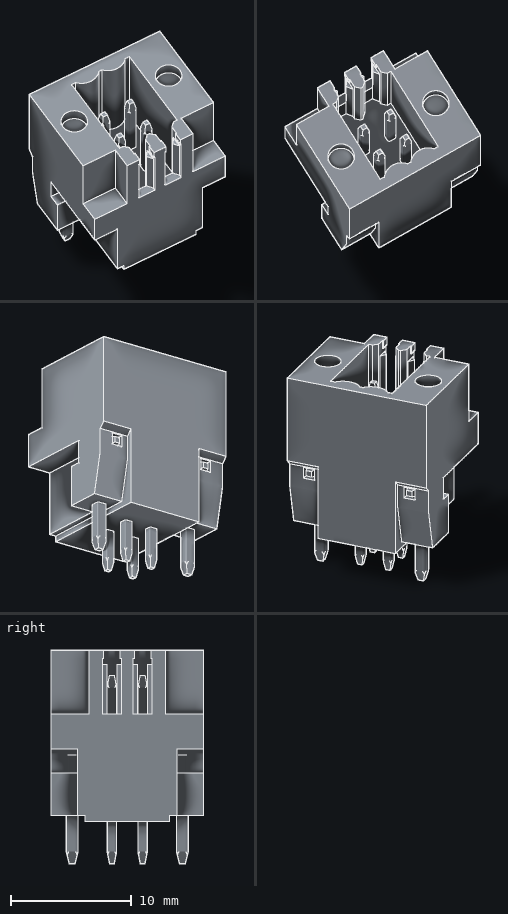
import cadquery as cq


LENGTH = 10.5
WIDTH = 12.64
TOP = 17.7
BLOCK_BOTTOM = 3.49
BLOCK_HALF_WIDTH = 3.5
WING_BOTTOM = 4.0
CUT = 0.18

BACK_RECESS = 0.5
BACK_RECESS_TOP = 10.09
BACK_SLOPE_TOP = 7.52
BACK_SLOPE_RUN = 0.8

NOTCH_X = 8.62
NOTCH_FLOOR = 12.43
NOTCH_HALF_SPACING = 3.19

SIDE_RECESS_DEPTH = 2.2
SIDE_RECESS_TOP = 9.52
SIDE_RECESS_X = 3.49
SIDE_STEP_X = 4.51
SIDE_STEP_Z = 7.52

HOLE_DIAMETER = 2.2
HOLE_DEPTH = 1.1
HOLE_X = 4.32

CAVITY_BACK = 0.95
CAVITY_FRONT = NOTCH_X
CAVITY_HALF_WIDTH = 2.8
CAVITY_FLOOR = SIDE_RECESS_TOP
SCALLOP_RADIUS = 1.45
SCALLOP_BULGE = 0.53

SLOT_HALF_WIDTH = 0.78
SLOT_MOUTH_HALF_WIDTH = 1.17
SLOT_FLARE_END = 9.0
SLOT_RIDGE_X = 9.74
LIP_THICKNESS = 0.09
LIP_HEIGHT = 0.7
RIDGE_HEIGHT = 0.37
RIDGE_HALF_BASE = 0.51
RIDGE_TOP = TOP - 1.2

PITCH = 2.55
CONTACT_SIZE = 0.8
CONTACT_FILLET = 0.2
CONTACT_TOP = 15.61
CONTACT_X = 3.65
ANCHOR_SIZE = 1.0
ANCHOR_FILLET = 0.27
ANCHOR_X = 3.01
ANCHOR_Y = 4.57
ANCHOR_LEG_Z = 9.01
TIP_LENGTH = 1.01
TIP_RATIO = 0.5

HALF_WIDTH = WIDTH / 2
SIDES = (-1, 1)
COLUMN_Y = (-PITCH / 2, PITCH / 2)
CONTACT_ROWS = (CONTACT_X, CONTACT_X + PITCH)


def box(x0, x1, y0, y1, z0, z1):
    """Box between two corners given by their coordinates."""
    return cq.Workplane("XY").box(x1 - x0, y1 - y0, z1 - z0, centered=False).translate((x0, y0, z0))


def wing_box(side, x0, x1, y_inner, y_outer, z0, z1):
    """Box lying between two distances from the symmetry plane, on one side of it."""
    y0, y1 = sorted((side * y_inner, side * y_outer))
    return box(x0, x1, y0, y1, z0, z1)


def upright_prism(points, z0, z1):
    """Prism with an XY outline standing between two heights."""
    return cq.Workplane("XY").workplane(offset=z0).polyline(points).close().extrude(z1 - z0)


def back_wing_profile(side):
    """Cutter for the chamfered and sloped back of one wing."""
    slope_end = BACK_RECESS + BACK_SLOPE_RUN
    outline = [
        (-CUT, BACK_RECESS_TOP + CUT),
        (BACK_RECESS, BACK_RECESS_TOP - BACK_RECESS),
        (BACK_RECESS, BACK_SLOPE_TOP),
        (slope_end, WING_BOTTOM),
        (-CUT, WING_BOTTOM),
    ]
    depth = HALF_WIDTH - BLOCK_HALF_WIDTH
    centre = side * (HALF_WIDTH + BLOCK_HALF_WIDTH) / 2
    prism = cq.Workplane("XZ").polyline(outline).close().extrude(depth / 2, both=True)
    return prism.translate((0, centre, 0))


def housing():
    """Outer body without the mating cavity."""
    body = box(0, LENGTH, -HALF_WIDTH, HALF_WIDTH, WING_BOTTOM, TOP)
    body = body.union(box(0, LENGTH, -BLOCK_HALF_WIDTH, BLOCK_HALF_WIDTH, BLOCK_BOTTOM, TOP))
    recess_inner = HALF_WIDTH - SIDE_RECESS_DEPTH
    outer = HALF_WIDTH + CUT
    end = LENGTH + CUT
    for side in SIDES:
        body = body.cut(back_wing_profile(side))
        body = body.cut(wing_box(side, NOTCH_X, end, NOTCH_HALF_SPACING, outer, NOTCH_FLOOR, TOP + CUT))
        body = body.cut(wing_box(side, SIDE_RECESS_X, end, recess_inner, outer, SIDE_STEP_Z, SIDE_RECESS_TOP))
        body = body.cut(wing_box(side, SIDE_STEP_X, end, recess_inner, outer, WING_BOTTOM - CUT, SIDE_STEP_Z))
        hole = cq.Workplane("XY").circle(HOLE_DIAMETER / 2).extrude(HOLE_DEPTH)
        body = body.cut(hole.translate((HOLE_X, side * ANCHOR_Y, TOP - HOLE_DEPTH)))
    return body


def slot(y):
    """Cutter for one slot: flared mouth, deep inner part and shallower outer part."""
    mouth = upright_prism(
        [
            (CAVITY_FRONT, y - SLOT_MOUTH_HALF_WIDTH),
            (SLOT_FLARE_END, y - SLOT_HALF_WIDTH),
            (SLOT_FLARE_END, y + SLOT_HALF_WIDTH),
            (CAVITY_FRONT, y + SLOT_MOUTH_HALF_WIDTH),
        ],
        CAVITY_FLOOR,
        TOP,
    )
    y0 = y - SLOT_HALF_WIDTH
    y1 = y + SLOT_HALF_WIDTH
    inner = box(SLOT_FLARE_END, SLOT_RIDGE_X, y0, y1, CAVITY_FLOOR, TOP)
    outer = box(SLOT_RIDGE_X, LENGTH, y0, y1, NOTCH_FLOOR, TOP)
    return mouth.union(inner).union(outer)


def slot_ribs(y):
    """Lips and triangular ridges on both walls of one slot."""
    ribs = cq.Workplane("XY")
    for side in SIDES:
        wall = y + side * SLOT_HALF_WIDTH
        lip_y = sorted((wall, wall - side * LIP_THICKNESS))
        ribs = ribs.add(box(SLOT_RIDGE_X, LENGTH, lip_y[0], lip_y[1], TOP - LIP_HEIGHT, TOP))
        triangle = [
            (SLOT_RIDGE_X - RIDGE_HALF_BASE, wall),
            (SLOT_RIDGE_X, wall - side * RIDGE_HEIGHT),
            (SLOT_RIDGE_X + RIDGE_HALF_BASE, wall),
        ]
        ribs = ribs.add(upright_prism(triangle, CAVITY_FLOOR, RIDGE_TOP))
    return ribs.combine()


def mating_cavity():
    """Cutter for the open cavity with its scalloped back wall and slots."""
    cavity = box(CAVITY_BACK, CAVITY_FRONT, -CAVITY_HALF_WIDTH, CAVITY_HALF_WIDTH, CAVITY_FLOOR, TOP)
    scallop_x = CAVITY_BACK + SCALLOP_BULGE - SCALLOP_RADIUS
    for y in COLUMN_Y:
        scallop = cq.Workplane("XY").circle(SCALLOP_RADIUS).extrude(TOP)
        cavity = cavity.cut(scallop.translate((scallop_x, y, 0)))
        cavity = cavity.union(slot(y))
    for y in COLUMN_Y:
        cavity = cavity.cut(slot_ribs(y))
    return cavity


def tapered_tip(size):
    """Square frustum with its wide end at Z = 0 and its narrow end at TIP_LENGTH."""
    tip = cq.Workplane("XY").rect(size, size).workplane(offset=TIP_LENGTH)
    return tip.rect(size * TIP_RATIO, size * TIP_RATIO).loft()


def bottom_tip(size):
    """Tip pointing down, ending at Z = 0."""
    return tapered_tip(size).mirror("XY").translate((0, 0, TIP_LENGTH))


def contact_pin():
    """Straight contact with rounded edges and a tapered tip at both ends."""
    size = CONTACT_SIZE
    shaft = cq.Workplane("XY").rect(size, size).extrude(CONTACT_TOP).edges("|Z").fillet(CONTACT_FILLET)
    middle = cq.Workplane("XY").rect(size, size).extrude(CONTACT_TOP - 2 * TIP_LENGTH)
    envelope = middle.translate((0, 0, TIP_LENGTH)).union(bottom_tip(size))
    envelope = envelope.union(tapered_tip(size).translate((0, 0, CONTACT_TOP - TIP_LENGTH)))
    return shaft.intersect(envelope)


def anchor_pin():
    """Vertical leg of an anchor with rounded edges, reaching up to its horizontal leg."""
    size = ANCHOR_SIZE
    shaft = cq.Workplane("XY").rect(size, size).extrude(ANCHOR_LEG_Z).edges("|Z").fillet(ANCHOR_FILLET)
    middle = cq.Workplane("XY").rect(size, size).extrude(ANCHOR_LEG_Z - TIP_LENGTH)
    return shaft.intersect(middle.translate((0, 0, TIP_LENGTH)).union(bottom_tip(size)))


def add_anchor(body, y):
    """Anchor pin below a wing and its tapered end sunk in a square pocket in the back."""
    half = ANCHOR_SIZE / 2
    pocket_end = BACK_RECESS + TIP_LENGTH
    pocket = box(BACK_RECESS, pocket_end, y - half, y + half, ANCHOR_LEG_Z - half, ANCHOR_LEG_Z + half)
    leg_end = tapered_tip(ANCHOR_SIZE).rotate((0, 0, 0), (0, 1, 0), -90)
    body = body.cut(pocket).union(leg_end.translate((pocket_end, y, ANCHOR_LEG_Z)))
    return body.union(anchor_pin().translate((ANCHOR_X, y, 0)))


result = housing().cut(mating_cavity())
for side in SIDES:
    result = add_anchor(result, side * ANCHOR_Y)
for x in CONTACT_ROWS:
    for y in COLUMN_Y:
        result = result.union(contact_pin().translate((x, y, 0)))